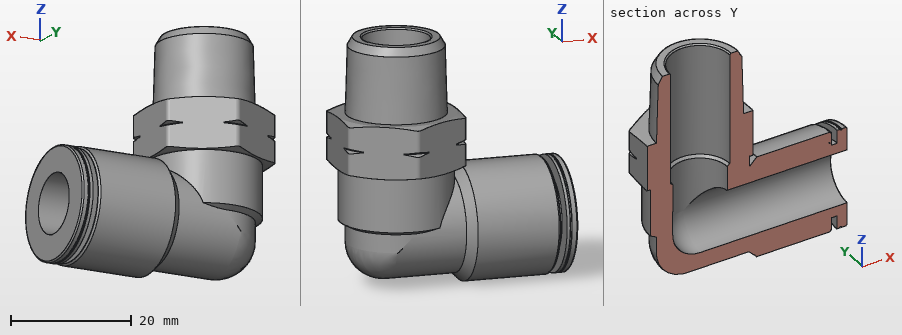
import cadquery as cq
import math


total_height = 42.5
total_length = 38.8
socket_radius = 20.0 / 2

stud_top = total_height - socket_radius
collar_radius = 19.4 / 2
collar_bottom = 1.35
collar_cone_height = 0.65
hex_width = 20.55
hex_bottom = 10.55
hex_top = 19.55
hex_corner_rounding = 0.85
hex_chamfer_angle = 15
hex_face_radius = 10.2
groove_root_radius = 10.85
groove_half_angle = 20
groove_root_height = 0.13
thread_base_radius = 8.5
thread_tip_radius = 8.15
thread_rim_radius = 14.6 / 2
thread_chamfer_height = 1.45

elbow_radius = 8.5
heel_radius = 6.05

socket_cone_start = 9.48
socket_chamfer = socket_radius - 19.4 / 2
socket_end = 25.55
socket_lip = 0.1
neck_radius = 14.6 / 2
flange_radius = 19.8 / 2
flange_start = 26.55
flange_end = total_length - hex_width / 2
flange_chamfer = 0.25
flange_groove_start = 27.15
flange_groove_width = 0.3
flange_groove_depth = 0.2

stud_bore_radius = 11.45 / 2
stud_bore_bottom = hex_bottom
stud_bore_chamfer = 0.25
passage_radius = 10.5 / 2


def turn_about_z(points):
    """Turn a (radius, z) outline about the stud axis."""
    return cq.Workplane("XZ").polyline(points).close().revolve(360, (0, 0), (0, 1))


def turn_about_x(points):
    """Turn an (x, radius) outline about the socket axis."""
    return cq.Workplane("XZ").polyline(points).close().revolve(360, (0, 0), (1, 0))


def make_elbow():
    """Two equal tubes mitred at the corner, with the heel rounded about a Y axis."""
    upright = cq.Workplane("XY").workplane(offset=-elbow_radius).circle(elbow_radius)
    upright = upright.extrude(elbow_radius + collar_bottom)
    level = cq.Workplane("YZ").workplane(offset=-elbow_radius).circle(elbow_radius)
    level = level.extrude(elbow_radius + socket_cone_start)
    corner = upright.intersect(level)
    upper = cq.Workplane("XY").circle(elbow_radius).extrude(collar_bottom)
    outer = cq.Workplane("YZ").circle(elbow_radius).extrude(socket_cone_start)

    heel_center = heel_radius - elbow_radius
    half_width = math.sqrt(elbow_radius**2 - heel_center**2)
    cutter_size = 2 * elbow_radius
    heel_block = (
        cq.Workplane("XY")
        .box(cutter_size, cutter_size, cutter_size)
        .translate((heel_center - elbow_radius, 0, heel_center - elbow_radius))
    )
    heel = (
        cq.Workplane("XY", origin=(0, 0, heel_center))
        .moveTo(heel_center, -half_width)
        .threePointArc((-elbow_radius, 0), (heel_center, half_width))
        .close()
        .revolve(90, (heel_center, 0.42), (heel_center, -0.42))
    )
    return corner.cut(heel_block).union(heel).union(upper).union(outer)


def make_hexagon():
    """Hexagon with flats facing +X and -X, chamfered ends and a V groove around its corners."""
    corner_diameter = hex_width / math.cos(math.radians(30))
    prism = (
        cq.Workplane("XY", origin=(0, 0, hex_bottom))
        .polygon(6, corner_diameter)
        .extrude(hex_top - hex_bottom)
        .rotate((0, 0, 0), (0, 0, 1), 30)
        .edges("|Z")
        .fillet(hex_corner_rounding)
    )
    outer_radius = corner_diameter / 2
    drop = (outer_radius - hex_face_radius) * math.tan(math.radians(hex_chamfer_angle))
    middle = (hex_bottom + hex_top) / 2
    root_half = groove_root_height / 2
    groove_depth = outer_radius - groove_root_radius
    groove_half = root_half + groove_depth * math.tan(math.radians(groove_half_angle))
    envelope = turn_about_z([
        (0, hex_bottom),
        (hex_face_radius, hex_bottom),
        (outer_radius, hex_bottom + drop),
        (outer_radius, middle - groove_half),
        (groove_root_radius, middle - root_half),
        (groove_root_radius, middle + root_half),
        (outer_radius, middle + groove_half),
        (outer_radius, hex_top - drop),
        (hex_face_radius, hex_top),
        (0, hex_top),
    ])
    return prism.intersect(envelope)


def make_collar():
    cone_bottom = collar_bottom - collar_cone_height
    return turn_about_z([
        (0, cone_bottom),
        (elbow_radius, cone_bottom),
        (collar_radius, collar_bottom),
        (collar_radius, hex_bottom),
        (0, hex_bottom),
    ])


def make_thread():
    return turn_about_z([
        (0, hex_top),
        (thread_base_radius, hex_top),
        (thread_tip_radius, stud_top - thread_chamfer_height),
        (thread_rim_radius, stud_top),
        (0, stud_top),
    ])


def make_socket():
    """Socket sleeve, neck and grooved release flange."""
    lip_radius = socket_radius - socket_chamfer
    lip_start = socket_end - socket_lip
    groove_radius = flange_radius - flange_groove_depth
    groove_end = flange_groove_start + flange_groove_width
    return turn_about_x([
        (socket_cone_start, 0),
        (socket_cone_start, elbow_radius),
        (socket_cone_start + socket_radius - elbow_radius, socket_radius),
        (lip_start - socket_chamfer, socket_radius),
        (lip_start, lip_radius),
        (socket_end, lip_radius),
        (socket_end, neck_radius),
        (flange_start, neck_radius),
        (flange_start, flange_radius),
        (flange_groove_start, flange_radius),
        (flange_groove_start, groove_radius),
        (groove_end, groove_radius),
        (groove_end, flange_radius),
        (flange_end - flange_chamfer, flange_radius),
        (flange_end, flange_radius - flange_chamfer),
        (flange_end, 0),
    ])


def make_passages():
    """Stepped stud bore meeting the socket bore at a spherical corner."""
    passage_step = stud_bore_radius - passage_radius
    stud_bore = turn_about_z([
        (0, 0),
        (passage_radius, 0),
        (passage_radius, stud_bore_bottom - passage_step),
        (stud_bore_radius, stud_bore_bottom),
        (stud_bore_radius, stud_top - stud_bore_chamfer),
        (stud_bore_radius + stud_bore_chamfer, stud_top),
        (0, stud_top),
    ])
    socket_bore = cq.Workplane("YZ").circle(passage_radius).extrude(flange_end)
    return stud_bore.union(socket_bore).union(cq.Workplane("XY").sphere(passage_radius))


body = make_elbow().union(make_collar()).union(make_hexagon()).union(make_thread()).union(make_socket())
result = body.cut(make_passages())